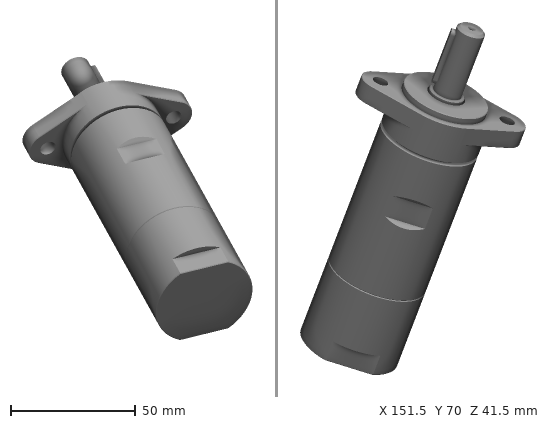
import cadquery as cq
import math

collar_start = 30.3
boss_start = 31.5
flange_start = 34.4
flange_end = 42.5
groove_start = 50.9
groove_end = 52.5
joint_center = 116.4
total_length = 151.5

body_radius = 41.5 / 2
boss_radius = 36.0 / 2
groove_radius = boss_radius
shaft_radius = 12.0 / 2
collar_radius = 15.0 / 2
recess_radius = 16.0 / 2
shaft_chamfer = 1.0
edge_chamfer = 0.3
joint_depth = 0.3
joint_width = 0.6
recess_floor = flange_start

cut_clearance = 1.5

flange_span = 70.0
ear_radius = 8.0
ear_center = flange_span / 2 - ear_radius
bolt_hole_diameter = 6.5

key_start = 2.7
key_end = 27.9
key_width = 4.0
key_top = 7.5

center_mouth_radius = 1.7
center_hole_radius = 1.7 / 2
center_cone_depth = center_mouth_radius - center_hole_radius
center_hole_depth = 6.0

notch_floor_start = 72.5
notch_floor_end = 82.3
notch_floor_height = 19.0

rear_flat_start = 142.3
rear_flat_height = boss_radius


def cylinder(start, end, radius):
    """Cylinder on the X axis between two stations."""
    return cq.Workplane("YZ", origin=(start, 0, 0)).circle(radius).extrude(end - start)


def ring(start, end, inner_radius, outer_radius):
    """Tube on the X axis between two stations."""
    return cylinder(start, end, outer_radius).cut(cylinder(start, end, inner_radius))


def make_body():
    """Main barrel with the front groove and the fine V-groove at the joint."""
    body = cylinder(flange_start, total_length, body_radius)
    body = body.cut(ring(groove_start, groove_end, groove_radius, body_radius + cut_clearance))
    joint = (
        cq.Workplane("XY")
        .moveTo(joint_center - joint_width / 2, body_radius)
        .lineTo(joint_center, body_radius - joint_depth)
        .lineTo(joint_center + joint_width / 2, body_radius)
        .close()
        .revolve(360, (0, 0, 0), (1, 0, 0))
    )
    return body.cut(joint)


def make_ears():
    """Two flange ears, joining the barrel circle along tangent lines."""
    tangent_sin = (body_radius - ear_radius) / ear_center
    tangent_cos = math.sqrt(1 - tangent_sin**2)
    barrel_y = body_radius * tangent_sin
    barrel_z = body_radius * tangent_cos
    ear_y = ear_center + ear_radius * tangent_sin
    ear_z = ear_radius * tangent_cos
    ears = (
        cq.Workplane("YZ", origin=(flange_start, 0, 0))
        .moveTo(-barrel_y, barrel_z)
        .lineTo(barrel_y, barrel_z)
        .lineTo(ear_y, ear_z)
        .threePointArc((flange_span / 2, 0), (ear_y, -ear_z))
        .lineTo(barrel_y, -barrel_z)
        .lineTo(-barrel_y, -barrel_z)
        .lineTo(-ear_y, -ear_z)
        .threePointArc((-flange_span / 2, 0), (-ear_y, ear_z))
        .close()
        .extrude(flange_end - flange_start)
    )
    return ears.faces(">X").chamfer(edge_chamfer)


def make_bolt_holes():
    """Cutter for the two bolt holes, concentric with the ear tips."""
    return (
        cq.Workplane("YZ", origin=(flange_start, 0, 0))
        .pushPoints([(-ear_center, 0), (ear_center, 0)])
        .circle(bolt_hole_diameter / 2)
        .extrude(flange_end - flange_start)
    )


def make_boss():
    """Pilot boss in front of the flange."""
    return cylinder(boss_start, flange_start, boss_radius).faces("<X").chamfer(edge_chamfer)


def make_shaft():
    """Output shaft with a collar and a center drilling."""
    shaft = cylinder(0, flange_end, shaft_radius).faces("<X").chamfer(shaft_chamfer)
    collar = cylinder(collar_start, flange_end, collar_radius).faces("<X").chamfer(edge_chamfer)
    drilling = (
        cq.Workplane("XY")
        .lineTo(0, center_mouth_radius)
        .lineTo(center_cone_depth, center_hole_radius)
        .lineTo(center_hole_depth, center_hole_radius)
        .lineTo(center_hole_depth, 0)
        .close()
        .revolve(360, (0, 0, 0), (1, 0, 0))
    )
    return shaft.union(collar).cut(drilling)


def make_key():
    """Round-ended feather key, rising from the shaft axis toward +Y."""
    return (
        cq.Workplane("XZ")
        .center((key_start + key_end) / 2, 0)
        .slot2D(key_end - key_start, key_width)
        .extrude(-key_top)
    )


def make_notch():
    """Cutter for the upper wrench notch, with 45 degree end walls."""
    rise = body_radius + cut_clearance - notch_floor_height
    return (
        cq.Workplane("XZ")
        .moveTo(notch_floor_start, notch_floor_height)
        .lineTo(notch_floor_end, notch_floor_height)
        .lineTo(notch_floor_end + rise, notch_floor_height + rise)
        .lineTo(notch_floor_start - rise, notch_floor_height + rise)
        .close()
        .extrude(body_radius, both=True)
    )


def make_rear_flat():
    """Cutter for the upper flat at the rear end."""
    return (
        cq.Workplane("XZ")
        .moveTo(rear_flat_start, rear_flat_height)
        .lineTo(total_length, rear_flat_height)
        .lineTo(total_length, rear_flat_height + body_radius)
        .lineTo(rear_flat_start, rear_flat_height + body_radius)
        .close()
        .extrude(body_radius, both=True)
    )


housing = make_body().union(make_ears()).faces("<X").chamfer(edge_chamfer)
housing = housing.cut(make_bolt_holes())

for cutter in (make_notch(), make_rear_flat()):
    housing = housing.cut(cutter).cut(cutter.mirror("XY"))
housing = housing.faces(">X").chamfer(edge_chamfer)

housing = housing.union(make_boss())
housing = housing.cut(cylinder(boss_start, recess_floor, recess_radius))

result = housing.union(make_shaft()).union(make_key())